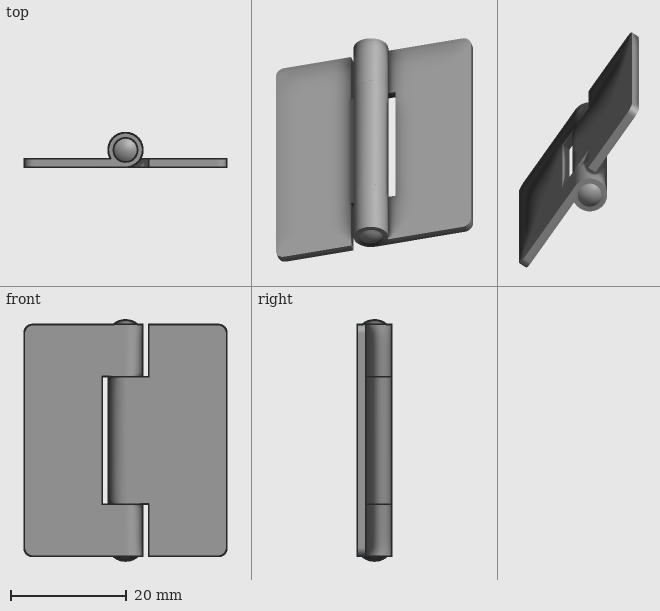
import cadquery as cq

hinge_width = 35.0
total_height = 41.6

leaf_height = 40.0
leaf_thickness = 1.5
corner_radius = 1.5
half_width = hinge_width / 2

knuckle_radius = 3.0
middle_knuckle_height = 22.0
knuckle_clearance = 1.0
pin_radius = 2.1
notch_edge = knuckle_radius + knuckle_clearance
end_knuckle_height = (leaf_height - middle_knuckle_height) / 2
end_knuckle_center = (middle_knuckle_height + end_knuckle_height) / 2

dome_height = (total_height - leaf_height) / 2


def leaf_plate(x_start, x_end, height, z_center):
    """Plate of leaf thickness with its outer face tangent to the knuckles."""
    return (
        cq.Workplane("XY")
        .box(x_end - x_start, leaf_thickness, height)
        .translate(((x_start + x_end) / 2, leaf_thickness / 2 - knuckle_radius, z_center))
    )


def cylinder(radius, height, z_center):
    """Cylinder on the pin axis."""
    return cq.Workplane("XY").cylinder(height, radius).translate((0, 0, z_center))


def make_leaf(knuckles):
    """Leaf reaching toward -X, with a knuckle for each (height, z center)."""
    leaf = leaf_plate(-half_width, -notch_edge, leaf_height, 0)
    leaf = leaf.edges("|Y and <X").fillet(corner_radius)
    for height, z_center in knuckles:
        leaf = leaf.union(leaf_plate(-notch_edge, 0, height, z_center))
        leaf = leaf.union(cylinder(knuckle_radius, height, z_center))
    return leaf.cut(cylinder(pin_radius, leaf_height, 0))


def make_pin():
    """Pin revolved about Z, with a spherical dome on each end."""
    shoulder = leaf_height / 2
    tip = shoulder + dome_height
    dome_radius = (pin_radius**2 + dome_height**2) / (2 * dome_height)
    arc_x = pin_radius / 2
    arc_z = tip - dome_radius + (dome_radius**2 - arc_x**2) ** 0.5
    return (
        cq.Workplane("XZ")
        .moveTo(0, -tip)
        .threePointArc((arc_x, -arc_z), (pin_radius, -shoulder))
        .lineTo(pin_radius, shoulder)
        .threePointArc((arc_x, arc_z), (0, tip))
        .close()
        .revolve(360, (0, 0, 0), (0, 1, 0))
    )


end_knuckles = [(end_knuckle_height, side * end_knuckle_center) for side in (-1, 1)]
outer_leaf = make_leaf(end_knuckles)
middle_leaf = make_leaf([(middle_knuckle_height, 0)]).mirror("YZ")
pin = make_pin()

result = cq.Compound.makeCompound([outer_leaf.solids().val(), middle_leaf.solids().val(), pin.val()])